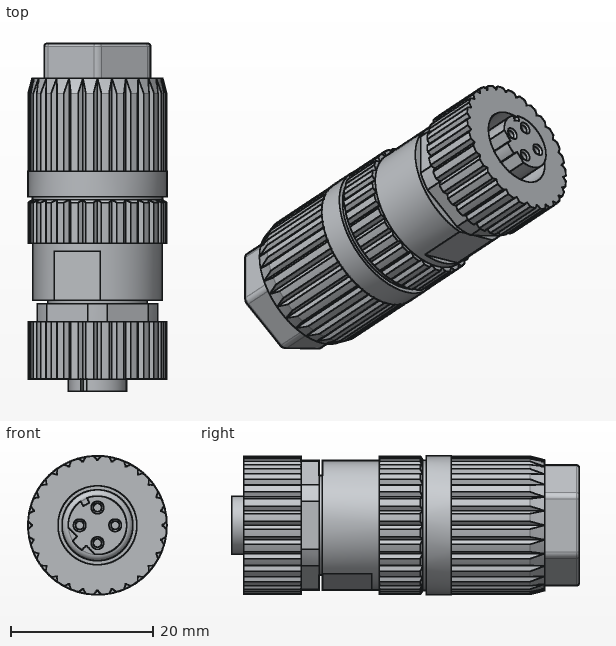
import cadquery as cq
import math


nut_front = 1.7
nut_rear = 9.8
hex_collar_rear = 12.35
body_front = 12.8
body_rear = 20.82
ring_front = 26.95
sleeve_front = 27.4
sleeve_band_rear = 30.95
sleeve_taper_start = 42.0
sleeve_rear = 44.1
cap_rear = 49.0

knurl_diameter = 19.5
knurl_root_diameter = 18.38
band_diameter = 19.6
body_diameter = 18.3
neck_diameter = 14.05
bore_diameter = 11.1
insert_diameter = 8.25

groove_count = 28
groove_depth = (knurl_diameter - knurl_root_diameter) / 2
ring_chamfer_length = 0.4

collar_across_flats = 17.0
cap_across_flats = 15.0
cap_corner_radius = 1.05
cap_edge_radius = 0.45
body_flat_rear = 19.75
body_flat_offset = 8.5
body_flat_angle = 19.5

bore_floor = 7.85
shoulder_diameter = 10.0
shoulder_height = 1.0
shoulder_rounding = (shoulder_diameter - insert_diameter) / 2

contact_count = 4
contact_circle_radius = 2.5
contact_diameter = 1.2
contact_mouth_diameter = 1.75
contact_mouth_depth = (contact_mouth_diameter - contact_diameter) / 2
contact_depth = 4.9

keyway_width = 1.0
keyway_floor_radius = 3.35
keyway_angle = 28.0
key_width = 1.8
key_shelf_radius = 3.15
key_angle = 135.0


def section(y):
    """Sketch plane across the axis at y: X right, Z up, facing -Y."""
    return cq.Workplane(cq.Plane(origin=(0, y, 0), xDir=(1, 0, 0), normal=(0, -1, 0)))


def cylinder(y_start, y_end, diameter):
    return section(y_start).circle(diameter / 2).extrude(y_start - y_end)


def cone(y_start, y_end, start_diameter, end_diameter):
    profile = [
        (0, y_start),
        (start_diameter / 2, y_start),
        (end_diameter / 2, y_end),
        (0, y_end),
    ]
    return cq.Workplane("XY").polyline(profile).close().revolve(360, (0, 0, 0), (0, 1, 0))


def hexagon(y_start, y_end, across_flats):
    """Hexagonal prism with corners at +Z and -Z."""
    corner_diameter = across_flats / math.cos(math.pi / 6)
    prism = section(y_start).polygon(6, corner_diameter).extrude(y_start - y_end)
    return prism.rotate((0, 0, 0), (0, 1, 0), 30)


def radial_block(y_start, y_end, inner_radius, outer_radius, offset, width, angle):
    """Block beyond inner_radius, turned by angle from +Z toward -X."""
    block = (
        section(y_start)
        .center(offset, (inner_radius + outer_radius) / 2)
        .rect(width, outer_radius - inner_radius)
        .extrude(y_start - y_end)
    )
    return block.rotate((0, 0, 0), (0, 1, 0), -angle)


def cut_knurl(blank, y_start, y_end):
    """Cut evenly spaced right-angled V grooves along the blank."""
    root_radius = knurl_root_diameter / 2
    mouth_depth = 2 * groove_depth
    groove = (
        section(y_start)
        .polyline([
            (0, root_radius),
            (mouth_depth, root_radius + mouth_depth),
            (-mouth_depth, root_radius + mouth_depth),
        ])
        .close()
        .extrude(y_start - y_end)
    )
    for index in range(groove_count):
        turned = groove.rotate((0, 0, 0), (0, 1, 0), index * 360 / groove_count)
        blank = blank.cut(turned)
    return blank


def make_coupling_nut():
    nut = cut_knurl(cylinder(nut_front, nut_rear, knurl_diameter), nut_front, nut_rear)
    collar = cylinder(nut_rear, hex_collar_rear, body_diameter).intersect(
        hexagon(nut_rear, hex_collar_rear, collar_across_flats)
    )
    return nut.union(collar).cut(cylinder(nut_front, bore_floor, bore_diameter))


def make_insert():
    insert = cylinder(0, bore_floor, insert_diameter)
    cut_reach = insert_diameter

    insert = insert.cut(radial_block(
        0, bore_floor, keyway_floor_radius, cut_reach, 0, keyway_width, keyway_angle
    ))

    for side in (-1, 1):
        insert = insert.cut(radial_block(
            0, bore_floor, key_shelf_radius, cut_reach,
            side * (key_width + insert_diameter) / 2, insert_diameter, key_angle,
        ))

    hole = cylinder(0, contact_depth, contact_diameter).union(
        cone(0, contact_mouth_depth, contact_mouth_diameter, contact_diameter)
    ).translate((0, 0, contact_circle_radius))
    for index in range(contact_count):
        insert = insert.cut(hole.rotate((0, 0, 0), (0, 1, 0), index * 360 / contact_count))
    return insert


def make_insert_shoulder():
    """Round-edged shoulder that carries the insert at the bore floor."""
    shoulder = cylinder(bore_floor - shoulder_height, bore_floor, shoulder_diameter)
    return shoulder.faces("<Y").edges().fillet(shoulder_rounding)


def make_body():
    body = cylinder(body_front, body_rear, body_diameter)
    for angle in (body_flat_angle, body_flat_angle + 180):
        body = body.cut(radial_block(
            body_front, body_flat_rear, body_flat_offset, body_diameter,
            0, body_diameter, angle,
        ))
    return body


def make_knurled_ring():
    chamfer_start = ring_front - ring_chamfer_length
    blank = cylinder(body_rear, chamfer_start, knurl_diameter).union(
        cone(chamfer_start, ring_front, knurl_diameter, knurl_root_diameter)
    )
    return cut_knurl(blank, body_rear, ring_front)


def make_sleeve():
    blank = cylinder(sleeve_band_rear, sleeve_taper_start, knurl_diameter).union(
        cone(sleeve_taper_start, sleeve_rear, knurl_diameter, knurl_root_diameter)
    )
    knurled = cut_knurl(blank, sleeve_band_rear, sleeve_rear)
    return knurled.union(cylinder(sleeve_front, sleeve_band_rear, band_diameter))


def make_cap():
    cap = hexagon(sleeve_rear, cap_rear, cap_across_flats)
    return cap.edges("|Y").fillet(cap_corner_radius).faces(">Y").edges().fillet(cap_edge_radius)


result = make_coupling_nut()
for piece in (
    make_insert(),
    make_insert_shoulder(),
    cylinder(hex_collar_rear, body_front, neck_diameter),
    make_body(),
    make_knurled_ring(),
    cylinder(ring_front, sleeve_front, knurl_root_diameter),
    make_sleeve(),
    make_cap(),
):
    result = result.union(piece)